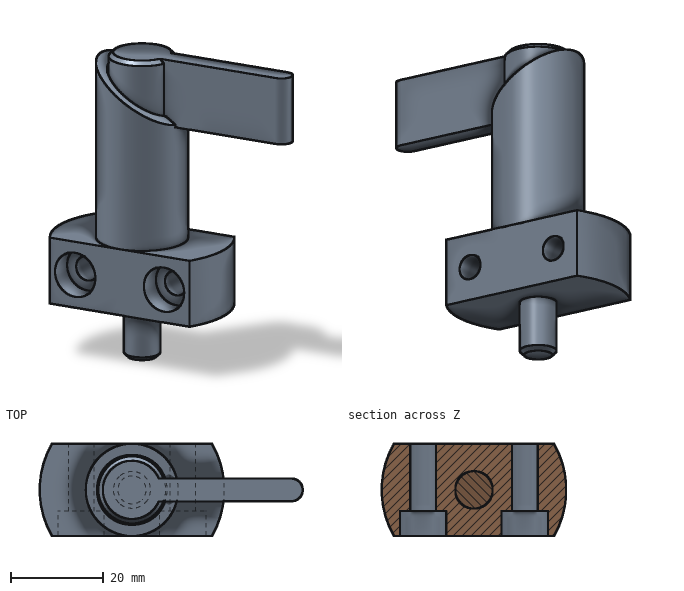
import cadquery as cq

base_length = 40.0
base_width = 20.0
base_height = 15.0
sleeve_diameter = base_width
sleeve_high_z = 55.5
sleeve_low_z = 42.4
bore_diameter = 15.2
screw_spacing = 22.0
screw_hole_diameter = 5.5
counterbore_diameter = 10.0
counterbore_depth = 5.4
total_height = 69.0
pin_diameter = 8.0
pin_protrusion = 12.0
shaft_diameter = 14.55
lever_width = 5.0
lever_height = base_height
lever_reach = 37.0
edge_chamfer = 1.0

sleeve_radius = sleeve_diameter / 2
top_z = total_height - pin_protrusion
lever_bottom_z = top_z - lever_height


def make_base():
    """Disc trimmed to two parallel flats."""
    disc = cq.Workplane("XY").circle(base_length / 2).extrude(base_height)
    flats = cq.Workplane("XY").rect(base_length, base_width).extrude(base_height)
    return disc.intersect(flats)


def make_sleeve():
    """Cylinder with a slanted rim, standing on the base."""
    cylinder = cq.Workplane("XY").circle(sleeve_radius).extrude(sleeve_high_z)
    side_outline = (
        cq.Workplane("XZ")
        .moveTo(-sleeve_radius, 0)
        .lineTo(sleeve_radius, 0)
        .lineTo(sleeve_radius, sleeve_low_z)
        .lineTo(-sleeve_radius, sleeve_high_z)
        .close()
        .extrude(sleeve_radius, both=True)
    )
    return cylinder.intersect(side_outline)


def make_lever():
    """Flat bar from the plunger axis to a full-round tip."""
    tip_radius = lever_width / 2
    straight_end = lever_reach - tip_radius
    return (
        cq.Workplane("XY", origin=(0, 0, lever_bottom_z))
        .moveTo(0, -tip_radius)
        .lineTo(straight_end, -tip_radius)
        .threePointArc((lever_reach, 0), (straight_end, tip_radius))
        .lineTo(0, tip_radius)
        .close()
        .extrude(lever_height)
    )


def make_housing():
    """Base and sleeve with the plunger bore, lever notch and screw holes."""
    body = make_base().union(make_sleeve())
    bore = (
        cq.Workplane("XY", origin=(0, 0, base_height))
        .circle(bore_diameter / 2)
        .extrude(top_z - base_height)
    )
    pin_hole = cq.Workplane("XY").circle(pin_diameter / 2).extrude(base_height)
    body = body.cut(bore).cut(pin_hole).cut(make_lever())
    return (
        body.copyWorkplane(cq.Workplane("XZ", origin=(0, -base_width / 2, base_height / 2)))
        .pushPoints([(-screw_spacing / 2, 0), (screw_spacing / 2, 0)])
        .cboreHole(screw_hole_diameter, counterbore_diameter, counterbore_depth, base_width)
    )


def make_plunger():
    """Locking pin, guide shaft and lever in one piece."""
    pin = (
        cq.Workplane("XY", origin=(0, 0, -pin_protrusion))
        .circle(pin_diameter / 2)
        .extrude(pin_protrusion + base_height)
        .faces("<Z")
        .chamfer(edge_chamfer)
    )
    shaft = (
        cq.Workplane("XY", origin=(0, 0, base_height))
        .circle(shaft_diameter / 2)
        .extrude(top_z - base_height)
        .faces(">Z")
        .chamfer(edge_chamfer)
    )
    return pin.union(shaft).union(make_lever())


housing = make_housing()
plunger = make_plunger()

result = cq.Compound.makeCompound([housing.val(), plunger.val()])